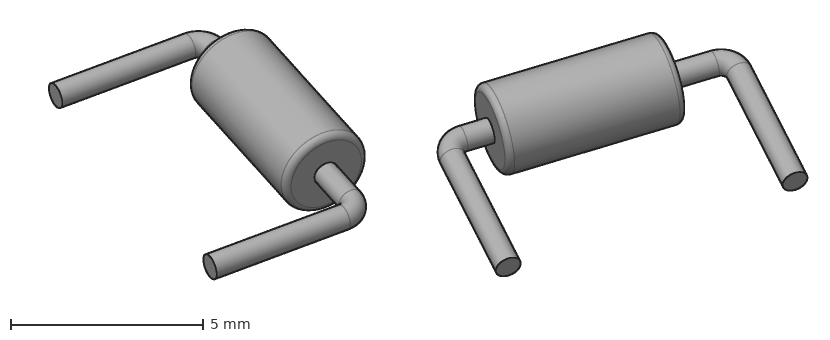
import cadquery as cq

overall_width = 8.7
overall_depth = 5.75
body_diameter = 2.5
body_length = 5.0
body_offset = -0.25
body_edge_radius = 0.19
wire_diameter = 0.7
bend_radius = 0.5

wire_radius = wire_diameter / 2
lead_x = overall_width / 2 - wire_radius
lead_end_y = body_diameter / 2 - overall_depth
body_left_x = body_offset - body_length / 2


def make_wire():
    """One continuous wire along X, with both ends bent towards -Y."""
    path = (
        cq.Workplane("XY")
        .moveTo(-lead_x, lead_end_y)
        .lineTo(-lead_x, -bend_radius)
        .radiusArc((-lead_x + bend_radius, 0), bend_radius)
        .lineTo(lead_x - bend_radius, 0)
        .radiusArc((lead_x, -bend_radius), bend_radius)
        .lineTo(lead_x, lead_end_y)
    )
    section = cq.Workplane("XZ", origin=(-lead_x, lead_end_y, 0)).circle(wire_radius)
    return section.sweep(path)


def make_body():
    """Cylindrical diode body with rounded ends and a bore for the wire."""
    cylinder = (
        cq.Workplane("YZ", origin=(body_left_x, 0, 0))
        .circle(body_diameter / 2)
        .extrude(body_length)
        .edges("%CIRCLE")
        .fillet(body_edge_radius)
    )
    bore = (
        cq.Workplane("YZ", origin=(body_left_x, 0, 0))
        .circle(wire_radius)
        .extrude(body_length)
    )
    return cylinder.cut(bore)


wire = make_wire()
body = make_body()

result = cq.Compound.makeCompound([body.val(), wire.val()])